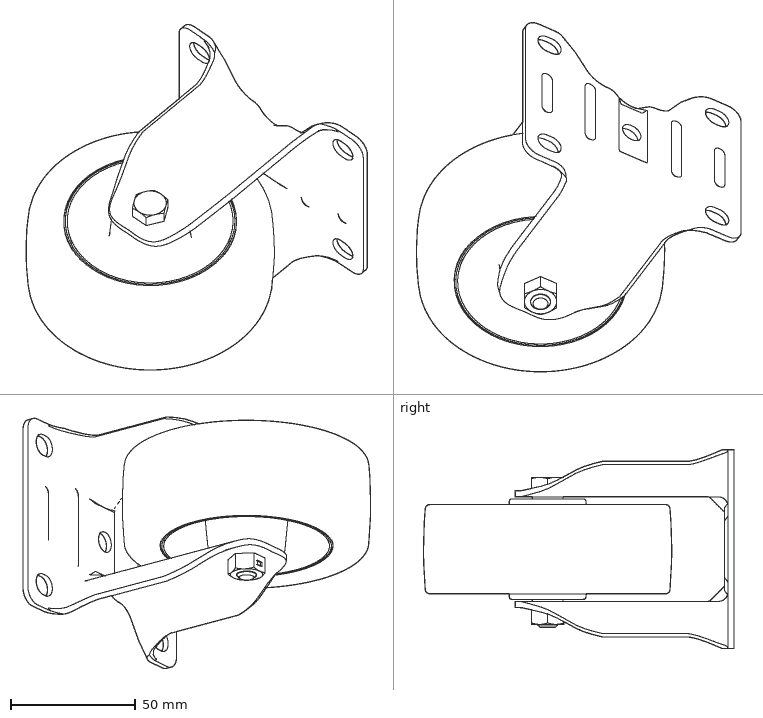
import cadquery as cq
import math


margin = 0.06
touch = 0.001
edge_samples = [0.0, 0.3, 0.5, 0.7, 1.0]

sheet = 2.5
plate_width = 100.0
plate_height = 80.0
plate_corner = 6.2
plate_back = 75.0
plate_front = plate_back - sheet
bend_radius = 3.7

leg_inside = 21.0
leg_outside = leg_inside + sheet
flat_half = 11.0
flange_angle = 56.0
flange_bend = 12.0
flange_reach = 26.1

half_root = math.sqrt(0.5)
sin_f = math.sin(math.radians(flange_angle))
cos_f = math.cos(math.radians(flange_angle))
bend_end_x = flat_half + flange_bend * sin_f
bend_end_z = leg_inside + flange_bend * (1 - cos_f)
flange_length = (flange_reach - bend_end_x) / cos_f
flange_end_z = bend_end_z + flange_length * sin_f
bend_length = flange_bend * math.radians(flange_angle)
half_girth = flat_half + bend_length + flange_length

cut_overrun = 1.2
leg_stock_end = -15.0
tip_outline = [
    (-3.7, -12.9), (0.0, -13.0), (flat_half, -11.6), (14.7, -8.7), (19.0, -1.9),
    (23.0, 4.1), (29.2, 14.1), (half_girth, 22.1), (half_girth + 0.7, 25.0),
]

fan_flare = 26.0
plate_lap = 0.6
fan_radius = 6.2
wing_start = 56.6
wing_edge = [(0.0, wing_start), (1.0, 60.2), (2.7, 64.2), (6.2, 70.0), (10.0, 72.4)]

slot_x = 38.9
slot_z = 30.0
slot_length = 10.7
slot_width = 8.7
plate_hole = 8.5

rib_height = 1.4
rib_width = 7.7
rib_taper = 50.0
rib_round = 1.1
short_rib_x = 40.0
short_rib_length = 26.2
long_rib_x = 20.0
long_rib_length = 36.7
centre_rib_width = 16.2
centre_rib_length = 32.5
groove_narrowing = 3.0

gusset_radius = 11.2
gusset_sum = 86.0
gusset_length = 25.0
gusset_round = 5.0
gusset_foot = 1.2

tread_radius = 50.0
tread_edge_radius = 49.1
tyre_half = 18.0
tyre_round = 1.9
tyre_bore = 34.7
core_rim = 34.1
core_lip = 33.4
lip_depth = 0.7
pocket_floor_radius = 30.5
web_half = 4.2
web_round = 1.7
hub_foot = 16.9
hub_top = 15.4
hub_half = 20.2
hub_round = 1.1

sleeve_radius = 6.2
bolt_radius = 4.0
bolt_end = -31.5
bolt_chamfer = 1.0
hex_flats = 13.0
hex_chamfer_angle = 30.0
head_height = 5.4
nut_height = 6.7
mark_width = 3.0
mark_height = 1.7
mark_depth = 0.6


def near_box(middle, half_size):
    """Selector for edges whose centre lies within a box, with a small margin."""
    low = [m - h - margin for m, h in zip(middle, half_size)]
    high = [m + h + margin for m, h in zip(middle, half_size)]
    return cq.selectors.BoxSelector(low, high)


def sheet_point(distance, y, offset):
    """Point of a leg at a developed distance from its centre line, offset out of the wheel-side face."""
    if distance <= flat_half:
        return cq.Vector(distance, y, leg_inside + offset)
    if distance <= flat_half + bend_length:
        angle = (distance - flat_half) / flange_bend
        radius = flange_bend - offset
        return cq.Vector(
            flat_half + radius * math.sin(angle),
            y,
            leg_inside + flange_bend - radius * math.cos(angle),
        )
    along = distance - flat_half - bend_length
    return cq.Vector(
        bend_end_x + along * cos_f - offset * sin_f,
        y,
        bend_end_z + along * sin_f + offset * cos_f,
    )


def swept_leg():
    """Half leg with its bend into the plate, of constant section along the leg profile."""
    bend_start = leg_inside - bend_radius
    bend_y = plate_front - bend_radius
    outer_radius = bend_radius + sheet
    inner_mid = bend_radius * half_root
    outer_mid = outer_radius * half_root
    section = (
        cq.Workplane("YZ")
        .moveTo(plate_front, bend_start)
        .threePointArc((bend_y + inner_mid, bend_start + inner_mid), (bend_y, leg_inside))
        .lineTo(leg_stock_end, leg_inside)
        .lineTo(leg_stock_end, leg_outside)
        .lineTo(bend_y, leg_outside)
        .threePointArc((bend_y + outer_mid, bend_start + outer_mid), (plate_back, bend_start))
        .close()
    )
    half = math.radians(flange_angle / 2)
    path = (
        cq.Workplane("XZ")
        .moveTo(0, leg_inside)
        .lineTo(flat_half, leg_inside)
        .threePointArc(
            (
                flat_half + flange_bend * math.sin(half),
                leg_inside + flange_bend * (1 - math.cos(half)),
            ),
            (bend_end_x, bend_end_z),
        )
        .lineTo(flange_reach, flange_end_z)
    )
    return section.sweep(path).val()


def cut_tip(leg):
    """Cuts the rounded tip of the leg square to the sheet and keeps the larger piece."""
    edges = [
        cq.Edge.makeSpline([sheet_point(d, y, offset) for d, y in tip_outline])
        for offset in (-cut_overrun, sheet + cut_overrun)
    ]
    pieces = leg.split(cq.Face.makeRuledSurface(*edges)).Solids()
    return max(pieces, key=lambda piece: piece.Volume())


def fan_slope(fraction):
    """Slope of the leg, in radians, along the run-out."""
    return math.radians(flange_angle - fan_flare * fraction)


def fan_station(fraction):
    """Wheel-side leg point, direction toward the plate middle and bend radius along the run-out."""
    slope = fan_slope(fraction)
    flare_radius = (plate_height / 2 - flange_end_z) / (math.cos(fan_slope(1)) - cos_f)
    foot = cq.Vector(
        flange_reach + flare_radius * (sin_f - math.sin(slope)),
        0,
        flange_end_z + flare_radius * (math.cos(slope) - cos_f),
    )
    turn = math.radians(90 - flange_angle) * (1 - fraction)
    inward = cq.Vector(math.cos(turn), 0, -math.sin(turn))
    radius = bend_radius + (fan_radius - bend_radius) * (fraction + fraction ** 2) / 2
    return foot, inward, radius


def fan_section(fraction):
    """Sheet section across the run-out: plate, bend and leg."""
    foot, inward, radius = fan_station(fraction)
    slope = fan_slope(fraction)
    wall = sheet / inward.dot(cq.Vector(math.sin(slope), 0, -math.cos(slope)))
    outer = radius + sheet
    plane = cq.Plane(origin=foot, xDir=inward, normal=inward.cross(cq.Vector(0, 1, 0)))
    part = 1 - half_root
    end = radius + plate_lap
    return (
        cq.Workplane(plane)
        .moveTo(end, plate_front)
        .lineTo(radius, plate_front)
        .threePointArc((radius * part, plate_front - radius * part), (0, plate_front - radius))
        .lineTo(0, wing_start)
        .lineTo(-wall, wing_start)
        .lineTo(-wall, plate_back - outer)
        .threePointArc((outer * part - wall, plate_back - outer * part), (outer - wall, plate_back))
        .lineTo(end, plate_back)
        .close()
        .val()
    )


def wing():
    """Run-out of the leg toward the plate corner, with a bend radius that grows to the plate edge."""
    body = cq.Solid.makeLoft([fan_section(f) for f in (0.0, 0.5, 1.0)])
    flange_plane = cq.Plane(
        origin=(flange_reach, 0, flange_end_z),
        xDir=(cos_f, 0, sin_f),
        normal=(-sin_f, 0, cos_f),
    )
    far = plate_corner + wing_edge[-1][0]
    waste = (
        cq.Workplane(flange_plane)
        .workplane(offset=-far)
        .moveTo(*wing_edge[0])
        .spline(wing_edge[1:], includeCurrent=True)
        .lineTo(far, plate_front)
        .lineTo(far, 0)
        .lineTo(0, 0)
        .close()
        .extrude(2 * far)
    )
    return body.cut(waste.val())


def plate_quarter():
    """Flat of the plate up to where the bend begins."""
    half_w = plate_width / 2
    half_h = plate_height / 2
    tangent = []
    for fraction in (1.0, 0.5, 0.0):
        foot, inward, radius = fan_station(fraction)
        point = foot + inward * radius
        tangent.append((point.x, point.z))
    ring = flange_bend + bend_radius
    centre_z = leg_inside + flange_bend
    half = math.radians(flange_angle / 2)
    corner = plate_corner * (1 - half_root)
    return (
        cq.Workplane("XZ", origin=(0, plate_front, 0))
        .lineTo(half_w, 0)
        .lineTo(half_w, half_h - plate_corner)
        .threePointArc((half_w - corner, half_h - corner), (half_w - plate_corner, half_h))
        .lineTo(*tangent[0])
        .spline(tangent[1:], includeCurrent=True)
        .lineTo(flat_half + ring * sin_f, centre_z - ring * cos_f)
        .threePointArc(
            (flat_half + ring * math.sin(half), centre_z - ring * math.cos(half)),
            (flat_half, centre_z - ring),
        )
        .lineTo(0, centre_z - ring)
        .close()
        .extrude(-sheet)
        .val()
    )


def rib(y, x, width, length):
    """Tapered rib that rises toward the wheel from the plane at y."""
    return (
        cq.Workplane("XZ", origin=(x, y, 0))
        .slot2D(length, width, 90)
        .extrude(rib_height, taper=rib_taper)
        .faces("<Y")
        .edges()
        .fillet(rib_round)
    )


def centre_rib(y, width):
    """Wide tapered rib between the two gussets."""
    return (
        cq.Workplane("XZ", origin=(0, y, 0))
        .rect(width, centre_rib_length)
        .extrude(rib_height, taper=rib_taper)
        .faces("<Y")
        .edges("|Z")
        .fillet(rib_round)
    )


def add_ribs(body):
    """Presses the ribs into the plate: raised on the wheel side, hollow at the back."""
    ribs = [
        (short_rib_x, short_rib_length),
        (-short_rib_x, short_rib_length),
        (long_rib_x, long_rib_length),
        (-long_rib_x, long_rib_length),
    ]
    for x, length in ribs:
        body = body.union(rib(plate_front, x, rib_width, length))
        foot = near_box((x, plate_front, 0), (rib_width / 2, 0, length / 2))
        body = body.edges(foot).fillet(rib_round)
        hollow = rib(plate_back, x, rib_width - groove_narrowing, length - groove_narrowing)
        body = body.cut(hollow)
    body = body.union(centre_rib(plate_front, centre_rib_width))
    for x in (-centre_rib_width / 2, centre_rib_width / 2):
        body = body.edges(near_box((x, plate_front, 0), (0, 0, 0))).fillet(rib_round)
    return body.cut(centre_rib(plate_back, centre_rib_width - groove_narrowing))


def bend_backing():
    """Everything on the wheel side of the outer faces of the plate and the +Z leg, near the middle."""
    return (
        cq.Workplane("YZ")
        .rect(2 * plate_back, 2 * leg_outside)
        .extrude(flat_half, both=True)
        .edges("|X and >Y and >Z")
        .fillet(bend_radius + sheet)
    )


def gusset_rod(radius):
    """Round rod laid across the +Z bend at 45 degrees; larger rods share the same axis."""
    axis_sum = gusset_sum + (gusset_radius + sheet) * math.sqrt(2)
    middle = cq.Vector(0, plate_front - bend_radius, axis_sum - plate_front + bend_radius)
    along = cq.Vector(0, 1, -1).normalized()
    start = middle - along * gusset_length
    return cq.Workplane(cq.Solid.makeCylinder(radius, 2 * gusset_length, start, along))


def round_edges_on(body, rod, radius):
    """Fillets the edges of the body that lie on the curved face of a rod."""
    wall = rod.faces("%CYLINDER").val()
    edges = [
        edge
        for edge in body.edges().vals()
        if all(
            wall.distance(cq.Vertex.makeVertex(*point.toTuple())) < touch
            for point in edge.positions(edge_samples)
        )
    ]
    return body.newObject(edges).fillet(radius)


def add_gusset(body):
    """Presses a rounded gusset into the middle of the +Z bend."""
    dent = gusset_rod(gusset_radius)
    ridge = gusset_rod(gusset_radius + sheet)
    body = body.union(ridge.intersect(bend_backing()))
    body = round_edges_on(body, ridge, gusset_foot)
    return round_edges_on(body.cut(dent), dent, gusset_round)


def make_bracket():
    """Mounting plate and two legs pressed from one sheet."""
    quarter = plate_quarter().fuse(cut_tip(swept_leg()), wing())
    half = add_gusset(cq.Workplane(quarter.fuse(quarter.mirror("YZ"))).clean())
    body = add_ribs(half.union(half.mirror("XY")))
    hole_depth = 2 * sheet

    holes = (
        cq.Workplane("XZ", origin=(0, plate_back, 0))
        .rect(2 * slot_x, 2 * slot_z, forConstruction=True)
        .vertices()
        .slot2D(slot_length, slot_width)
        .extrude(hole_depth)
    )
    middle_hole = cq.Workplane("XZ", origin=(0, plate_back, 0)).circle(plate_hole / 2).extrude(hole_depth)
    axle_holes = cq.Workplane("XY").circle(bolt_radius).extrude(2 * leg_outside, both=True)
    return body.cut(holes).cut(middle_hole).cut(axle_holes)


def make_tyre():
    """Tread ring, crowned by an arc on each side of its mid-plane."""
    crown = tread_radius - tread_edge_radius
    crown_x = tread_radius - crown / 4
    return (
        cq.Workplane("XZ")
        .moveTo(tyre_bore, -tyre_half)
        .lineTo(tread_edge_radius, -tyre_half)
        .threePointArc((crown_x, -tyre_half / 2), (tread_radius, 0))
        .threePointArc((crown_x, tyre_half / 2), (tread_edge_radius, tyre_half))
        .lineTo(tyre_bore, tyre_half)
        .close()
        .revolve(360, (0, 0, 0), (0, 1, 0))
        .faces("<Z or >Z")
        .edges(cq.selectors.RadiusNthSelector(-1))
        .fillet(tyre_round)
    )


def make_core():
    """Wheel body: rim, web and tapered hub."""
    half = [
        (tyre_bore, 0),
        (tyre_bore, tyre_half - lip_depth),
        (core_rim, tyre_half),
        (core_lip, tyre_half),
        (pocket_floor_radius, web_half),
        (hub_foot, web_half),
        (hub_top, hub_half),
        (sleeve_radius, hub_half),
    ]
    lower = [(r, -z) for r, z in reversed(half[1:])]
    core = (
        cq.Workplane("XZ")
        .polyline(half + lower)
        .close()
        .revolve(360, (0, 0, 0), (0, 1, 0))
    )
    for z in (-web_half, web_half):
        core = core.edges(near_box((0, 0, z), (0, 0, 0))).fillet(web_round)
    hub_rims = core.faces("<Z or >Z").edges(cq.selectors.RadiusNthSelector(-1))
    return hub_rims.fillet(hub_round)


def make_sleeve():
    """Axle tube between the two legs."""
    return (
        cq.Workplane("XY", origin=(0, 0, -leg_inside))
        .circle(sleeve_radius)
        .circle(bolt_radius)
        .extrude(2 * leg_inside)
    )


def hexagon(height):
    """Hexagonal prism from Z = 0 with the corners of its far end bevelled."""
    across_corners = hex_flats / math.cos(math.radians(30))
    bevel = (across_corners - hex_flats) / 2
    drop = bevel * math.tan(math.radians(hex_chamfer_angle))
    prism = cq.Workplane("XY").polygon(6, across_corners).extrude(height)
    envelope = cq.Workplane("XY").circle(across_corners / 2).extrude(height)
    envelope = envelope.faces(">Z").edges().chamfer(drop, bevel)
    return prism.intersect(envelope)


def make_bolt():
    """Axle bolt, with its head on the +Z leg."""
    head = hexagon(head_height).translate((0, 0, leg_outside))
    shank = (
        cq.Workplane("XY", origin=(0, 0, bolt_end))
        .circle(bolt_radius)
        .extrude(leg_outside - bolt_end)
        .faces("<Z")
        .chamfer(bolt_chamfer)
    )
    return head.union(shank)


def make_nut():
    """Nut on the -Z leg, with a shallow mark on its -Y flat."""
    nut = hexagon(nut_height).cut(cq.Workplane("XY").circle(bolt_radius).extrude(nut_height))
    nut = nut.rotate((0, 0, 0), (1, 0, 0), 180).translate((0, 0, -leg_outside))
    mark = cq.Workplane("XY").box(mark_width, 2 * mark_depth, mark_height)
    return nut.cut(mark.translate((0, -hex_flats / 2, -leg_outside - nut_height / 2)))


bracket = make_bracket()
tyre = make_tyre()
core = make_core()
sleeve = make_sleeve()
bolt = make_bolt()
nut = make_nut()

result = cq.Compound.makeCompound(
    [bracket.val(), tyre.val(), core.val(), sleeve.val(), bolt.val(), nut.val()]
)